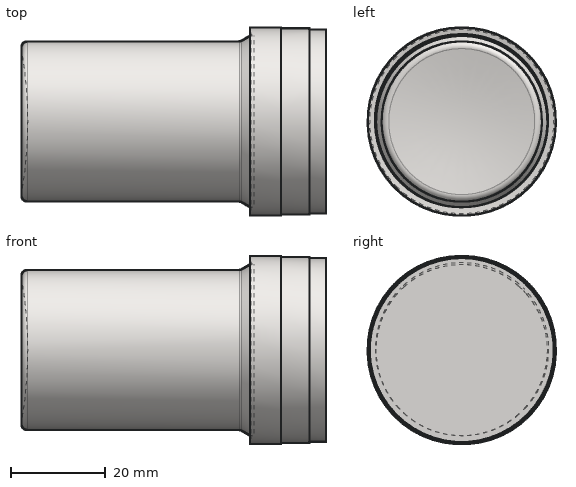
import cadquery as cq
import math

length = 64.5

plug_radius = 16.95
nose_fillet = 1.3
dish_edge_angle = math.radians(10.0)
flare_start = 46.1
flare_blend_end = 46.6
flare_blend_radius = 17.1
flare_radius = 18.1

collar_front = 48.4
front_step_end = 54.95
front_step_radius = 19.9
middle_step_end = 60.95
middle_step_radius = 19.75
rear_step_radius = 19.5
rim_angle = math.radians(8.0)

seat_depth = 0.9
mouth_offset = 0.25
mouth_direction = math.radians(70.0)
mouth_radius = flare_radius + mouth_offset
seat_floor = collar_front + seat_depth


def revolve_about_x(profile):
    """Close a profile drawn in the XZ plane and turn it about the X axis."""
    return profile.close().revolve(360, (0, 0, 0), (1, 0, 0))


def make_plug():
    fillet_centre = plug_radius - nose_fillet
    dish_edge_radius = fillet_centre - nose_fillet * math.sin(dish_edge_angle)
    dish_edge_x = nose_fillet * (1 - math.cos(dish_edge_angle))
    dish_sphere_radius = dish_edge_radius / math.sin(dish_edge_angle)
    dish_depth = dish_sphere_radius * (1 - math.cos(dish_edge_angle))
    profile = (
        cq.Workplane("XZ")
        .moveTo(dish_edge_x + dish_depth, 0)
        .radiusArc((dish_edge_x, dish_edge_radius), -dish_sphere_radius)
        .threePointArc((0, fillet_centre), (nose_fillet, plug_radius))
        .lineTo(flare_start, plug_radius)
        .lineTo(flare_blend_end, flare_blend_radius)
        .lineTo(collar_front, flare_radius)
        .lineTo(seat_floor, flare_radius)
        .lineTo(seat_floor, 0)
    )
    return revolve_about_x(profile)


def make_seat_cutter():
    """Slanted taper from the off-centre mouth down to the plug's own circle."""
    mouth_y = mouth_offset * math.cos(mouth_direction)
    mouth_z = mouth_offset * math.sin(mouth_direction)
    return (
        cq.Workplane("YZ", origin=(collar_front, 0, 0))
        .center(mouth_y, mouth_z)
        .circle(mouth_radius)
        .workplane(offset=seat_depth)
        .center(-mouth_y, -mouth_z)
        .circle(flare_radius)
        .loft()
    )


def make_collar():
    rim_depth = (front_step_radius - flare_radius) * math.tan(rim_angle)
    profile = (
        cq.Workplane("XZ")
        .moveTo(seat_floor, 0)
        .lineTo(seat_floor, flare_radius)
        .lineTo(collar_front + rim_depth, flare_radius)
        .lineTo(collar_front, front_step_radius)
        .lineTo(front_step_end, front_step_radius)
        .lineTo(front_step_end, middle_step_radius)
        .lineTo(middle_step_end, middle_step_radius)
        .lineTo(middle_step_end, rear_step_radius)
        .lineTo(length, rear_step_radius)
        .lineTo(length, 0)
    )
    return revolve_about_x(profile).cut(make_seat_cutter())


plug = make_plug()
collar = make_collar()
result = cq.Compound.makeCompound([plug.solids().val(), collar.solids().val()])